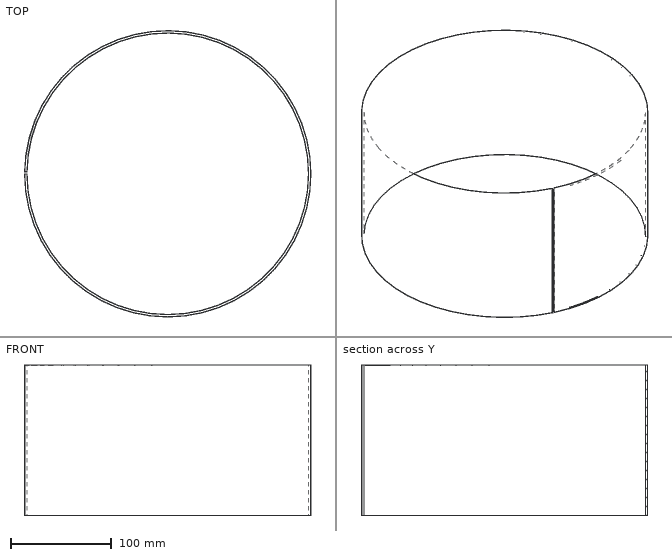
import cadquery as cq

outer_diameter = 285.0
wall = 2.5
height = 150.0
slit_width = 2.0
edge_round = 0.43

outer_radius = outer_diameter / 2
inner_radius = outer_radius - wall

sleeve = cq.Workplane("XY").circle(outer_radius).circle(inner_radius).extrude(height)
sleeve = sleeve.edges("%CIRCLE").fillet(edge_round)

slit_depth = 4 * wall
slit = cq.Workplane("XY").box(slit_depth, slit_width, height, centered=(True, False, False))
slit = slit.translate((-outer_radius, 0, 0))

result = sleeve.cut(slit)